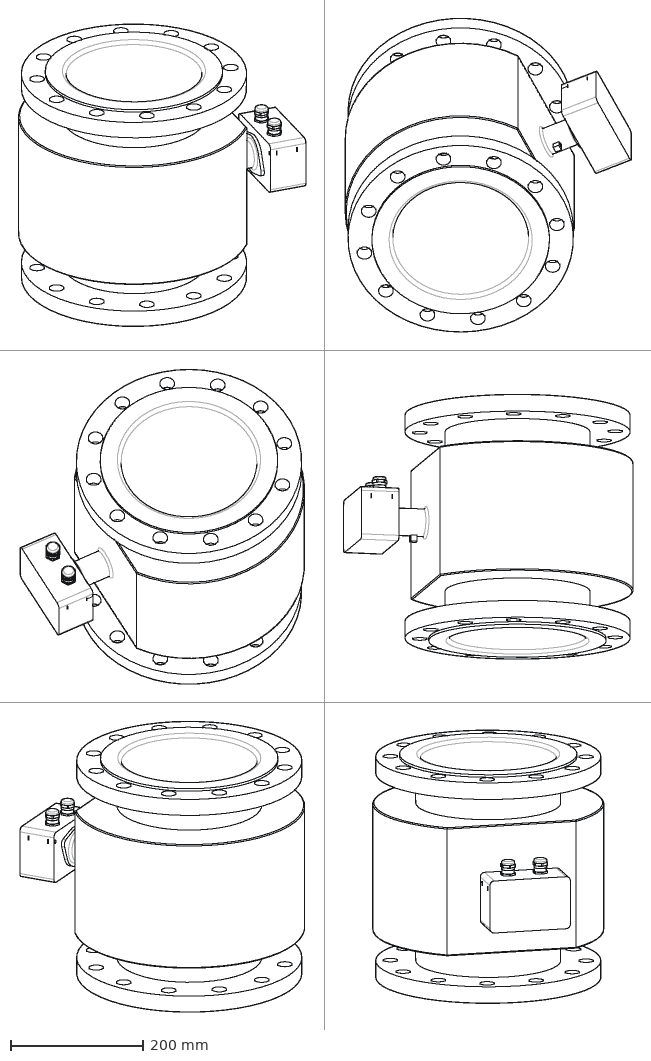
import cadquery as cq
import math

TUBE_LENGTH = 350.0
TUBE_OUTER_DIAMETER = 219.0
BORE_DIAMETER = 205.0
BORE_LIP_RADIUS = 5.5

FLANGE_DIAMETER = 340.0
FLANGE_THICKNESS = 25.8
RAISED_FACE_DIAMETER = 268.0
RAISED_FACE_HEIGHT = 4.0
BOLT_COUNT = 12
BOLT_HOLE_DIAMETER = 22.0
BOLT_CIRCLE_DIAMETER = 295.0

HOUSING_DIAMETER = 348.5
HOUSING_LENGTH = 198.8
HOUSING_FLAT_Y = 142.5
HOUSING_EDGE_CHAMFER = 1.7

OVERALL_DEPTH = 429.5
BOX_BACK_Y = OVERALL_DEPTH - HOUSING_DIAMETER / 2
BOX_DEPTH = 58.0
BOX_FRONT_Y = BOX_BACK_Y - BOX_DEPTH
BOX_WIDTH = 125.5
BOX_TOP_Z = 41.0
BOX_BOTTOM_Z = -40.0
BOX_EDGE_RADIUS = 7.0

CORNER_HOLE_DIAMETER = 5.0
CORNER_HOLE_DEPTH = 10.5
CORNER_HOLE_INSET = 4.0
CORNER_HOLE_Z = 26.0
SLIT_HEIGHT = 6.5
SLIT_SIZE = 0.65
SLIT_FRONT_Y = BOX_FRONT_Y + CORNER_HOLE_DEPTH
SLIT_SPACING = 33.0

PLATE_THICKNESS = 5.0
PLATE_RADIUS = 30.0
EAR_RADIUS = 7.5
EAR_DISTANCE = 34.5
EAR_ANGLE = 154

NECK_DIAMETER = 41.5
NECK_END_FILLET = 4.0
NECK_PLATE_Y = BOX_FRONT_Y - PLATE_THICKNESS

EARTH_Y = 161.0
EARTH_LUG_WIDTH = 9.5
EARTH_BOTTOM_Z = -29.5
EARTH_COLLAR_DIAMETER = 9.0
EARTH_COLLAR_OFFSET = 1.7
EARTH_COLLAR_BOTTOM_Z = -22.5

GLAND_SPACING = 50.2
GLAND_Y = 219.0
GLAND_HEX_WIDTH = 20.5
GLAND_HEX_CORNER_DIAMETER = 22.8
GLAND_SHANK_DIAMETER = 18.5
GLAND_COLLAR_DIAMETER = 19.7
GLAND_BASE_HEIGHT = 2.5
GLAND_SHANK_HEIGHT = 5.5
GLAND_COLLAR_HEIGHT = 4.0
GLAND_NUT_HEIGHT = 4.5
GLAND_CAP_HEIGHT = 5.0
GLAND_CAP_FILLET = 2.5


def cylinder_z(diameter, bottom, height):
    return cq.Workplane("XY", origin=(0, 0, bottom)).circle(diameter / 2).extrude(height)


def polar(radius, degrees):
    angle = math.radians(degrees)
    return (radius * math.cos(angle), radius * math.sin(angle))


def make_top_flange():
    """Upper flange with its raised sealing face and bolt holes."""
    face_z = TUBE_LENGTH / 2 - RAISED_FACE_HEIGHT
    flange = cylinder_z(FLANGE_DIAMETER, face_z - FLANGE_THICKNESS, FLANGE_THICKNESS)
    bolt_holes = (
        cq.Workplane("XY", origin=(0, 0, face_z - FLANGE_THICKNESS))
        .polarArray(BOLT_CIRCLE_DIAMETER / 2, 180 / BOLT_COUNT, 360, BOLT_COUNT)
        .circle(BOLT_HOLE_DIAMETER / 2)
        .extrude(FLANGE_THICKNESS)
    )
    raised_face = cylinder_z(RAISED_FACE_DIAMETER, face_z, RAISED_FACE_HEIGHT)
    return flange.cut(bolt_holes).union(raised_face)


def make_housing():
    """Coil housing cylinder cut flat on the +Y side, with broken end edges."""
    housing = cylinder_z(HOUSING_DIAMETER, -HOUSING_LENGTH / 2, HOUSING_LENGTH)
    beyond_flat = (
        cq.Workplane("XY")
        .box(HOUSING_DIAMETER, HOUSING_DIAMETER, HOUSING_LENGTH)
        .translate((0, HOUSING_FLAT_Y + HOUSING_DIAMETER / 2, 0))
    )
    return housing.cut(beyond_flat).faces("|Z").edges().chamfer(HOUSING_EDGE_CHAMFER)


def make_neck():
    """Neck with a concave flare at each end, turned about the Y axis."""
    radius = NECK_DIAMETER / 2
    flare_radius = radius + NECK_END_FILLET
    bend = NECK_END_FILLET * (1 - math.sqrt(0.5))
    return (
        cq.Workplane("XY")
        .moveTo(0, HOUSING_FLAT_Y)
        .lineTo(flare_radius, HOUSING_FLAT_Y)
        .threePointArc((radius + bend, HOUSING_FLAT_Y + bend), (radius, HOUSING_FLAT_Y + NECK_END_FILLET))
        .lineTo(radius, NECK_PLATE_Y - NECK_END_FILLET)
        .threePointArc((radius + bend, NECK_PLATE_Y - bend), (flare_radius, NECK_PLATE_Y))
        .lineTo(0, NECK_PLATE_Y)
        .close()
        .revolve(360, (0, 0, 0), (0, 1, 0))
    )


def make_mounting_plate():
    """Round plate with two opposite ears joined to it by tangent flanks."""
    face = cq.Workplane("XZ", origin=(0, BOX_FRONT_Y, 0))
    plate = face.circle(PLATE_RADIUS).extrude(PLATE_THICKNESS)
    tangent_spread = math.degrees(math.acos((PLATE_RADIUS - EAR_RADIUS) / EAR_DISTANCE))
    for ear_angle in (EAR_ANGLE, EAR_ANGLE + 180):
        ear_x, ear_z = polar(EAR_DISTANCE, ear_angle)
        first_x, first_z = polar(EAR_RADIUS, ear_angle - tangent_spread)
        last_x, last_z = polar(EAR_RADIUS, ear_angle + tangent_spread)
        ear = (
            face.moveTo(*polar(PLATE_RADIUS, ear_angle - tangent_spread))
            .lineTo(ear_x + first_x, ear_z + first_z)
            .threePointArc(
                polar(EAR_DISTANCE + EAR_RADIUS, ear_angle), (ear_x + last_x, ear_z + last_z)
            )
            .lineTo(*polar(PLATE_RADIUS, ear_angle + tangent_spread))
            .lineTo(0, 0)
            .close()
            .extrude(PLATE_THICKNESS)
        )
        plate = plate.union(ear)
    return plate


def make_earth_lug():
    """Square lug pointing down from the neck, with a short round collar set off towards the box."""
    root = cq.Workplane("XY", origin=(0, EARTH_Y, 0))
    collar = (
        root.center(0, EARTH_COLLAR_OFFSET)
        .circle(EARTH_COLLAR_DIAMETER / 2)
        .extrude(EARTH_COLLAR_BOTTOM_Z)
    )
    lug = root.rect(EARTH_LUG_WIDTH, EARTH_LUG_WIDTH).extrude(EARTH_BOTTOM_Z)
    return collar.union(lug)


def make_bore():
    """Through bore, flared by a rounded lip at each end, turned about the Z axis."""
    end_z = TUBE_LENGTH / 2
    radius = BORE_DIAMETER / 2
    lip_start_z = end_z - BORE_LIP_RADIUS
    bend = BORE_LIP_RADIUS * (1 - math.sqrt(0.5))
    return (
        cq.Workplane("XZ")
        .moveTo(0, -end_z)
        .lineTo(radius + BORE_LIP_RADIUS, -end_z)
        .threePointArc((radius + bend, bend - end_z), (radius, -lip_start_z))
        .lineTo(radius, lip_start_z)
        .threePointArc((radius + bend, end_z - bend), (radius + BORE_LIP_RADIUS, end_z))
        .lineTo(0, end_z)
        .close()
        .revolve(360, (0, 0, 0), (0, 1, 0))
    )


def make_meter():
    """Flow tube, flanges, housing and box support as one body."""
    top_flange = make_top_flange()
    return (
        cylinder_z(TUBE_OUTER_DIAMETER, -TUBE_LENGTH / 2, TUBE_LENGTH)
        .union(top_flange)
        .union(top_flange.mirror("XY"))
        .union(make_housing())
        .cut(make_bore())
        .union(make_neck())
        .union(make_mounting_plate())
        .union(make_earth_lug())
    )


def make_box():
    """Terminal box with rounded long edges, corner screw holes and side slits."""
    box = (
        cq.Workplane("XY")
        .box(BOX_WIDTH, BOX_DEPTH, BOX_TOP_Z - BOX_BOTTOM_Z, centered=(True, False, False))
        .translate((0, BOX_FRONT_Y, BOX_BOTTOM_Z))
        .edges("|Y")
        .fillet(BOX_EDGE_RADIUS)
    )
    for side in (-1, 1):
        hole_x = side * (BOX_WIDTH / 2 - CORNER_HOLE_INSET)
        hole = (
            cq.Workplane("XZ", origin=(hole_x, BOX_FRONT_Y, CORNER_HOLE_Z))
            .circle(CORNER_HOLE_DIAMETER / 2)
            .extrude(-CORNER_HOLE_DEPTH)
        )
        box = box.cut(hole)
        for slit_y in (SLIT_FRONT_Y, SLIT_FRONT_Y + SLIT_SPACING):
            slit = cq.Workplane("XY").box(2 * SLIT_SIZE, SLIT_SIZE, SLIT_HEIGHT)
            box = box.cut(slit.translate((side * BOX_WIDTH / 2, slit_y, CORNER_HOLE_Z)))
    return box


def make_hexagon(height):
    """Hexagon nut with two flats facing +X and -X and its corners turned round."""
    sharp_corner_diameter = GLAND_HEX_WIDTH / math.cos(math.pi / 6)
    nut = cq.Workplane("XY").polygon(6, sharp_corner_diameter).extrude(height)
    turned_bar = cylinder_z(GLAND_HEX_CORNER_DIAMETER, 0, height)
    return nut.rotate((0, 0, 0), (0, 0, 1), 90).intersect(turned_bar)


def make_gland_cap():
    cap = cylinder_z(GLAND_COLLAR_DIAMETER, 0, GLAND_CAP_HEIGHT)
    return cap.faces(">Z").edges().fillet(GLAND_CAP_FILLET)


def make_gland(center_x):
    """Cable gland: hexagon base, stepped shank, hexagon nut and rounded cap."""
    stack = [
        (make_hexagon(GLAND_BASE_HEIGHT), GLAND_BASE_HEIGHT),
        (cylinder_z(GLAND_SHANK_DIAMETER, 0, GLAND_SHANK_HEIGHT), GLAND_SHANK_HEIGHT),
        (cylinder_z(GLAND_COLLAR_DIAMETER, 0, GLAND_COLLAR_HEIGHT), GLAND_COLLAR_HEIGHT),
        (make_hexagon(GLAND_NUT_HEIGHT), GLAND_NUT_HEIGHT),
        (make_gland_cap(), GLAND_CAP_HEIGHT),
    ]
    gland = cq.Workplane("XY")
    level = 0
    for section, height in stack:
        gland = gland.union(section.translate((0, 0, level)))
        level += height
    return gland.translate((center_x, GLAND_Y, BOX_TOP_Z))


meter = make_meter()
terminal_box = make_box()
glands = [make_gland(side * GLAND_SPACING / 2) for side in (-1, 1)]

result = cq.Compound.makeCompound(
    [meter.val(), terminal_box.val(), *[gland.val() for gland in glands]]
)